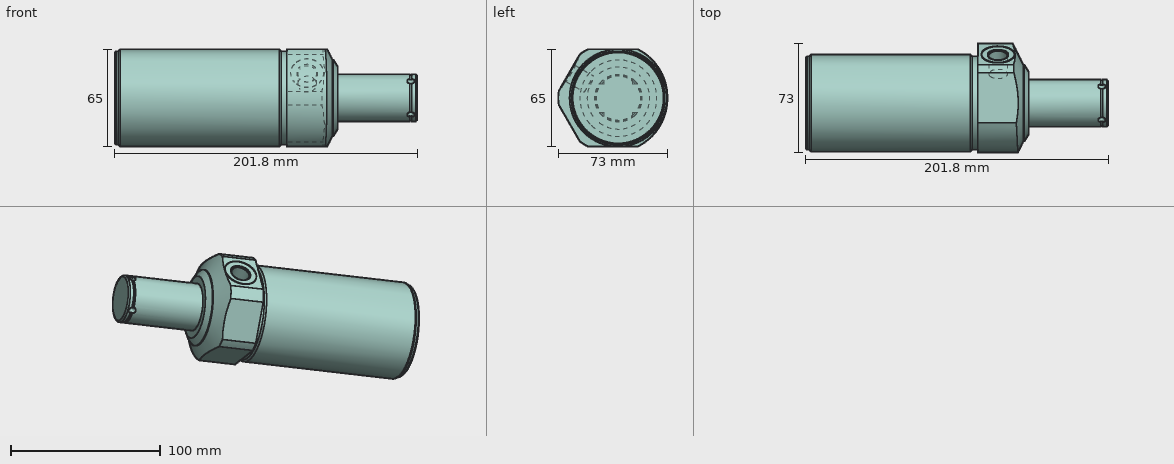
import cadquery as cq
import math


barrel_radius = 32.5
base_chamfer = 1.0
base_radius = 31.3
base_shoulder_start = 2.5
base_shoulder_end = base_shoulder_start + barrel_radius - base_radius
neck_radius = 31.3
neck_end = 115.0
neck_start = 111.0
barrel_end = neck_start - (barrel_radius - neck_radius)

head_radius = 36.515
head_offset = 3.5
side_flat_distance = barrel_radius
port_flat_distance = 33.65
port_flat_angle = 30.0
cone_end = 145.3
cone_small_radius = 25.6
cone_length_per_radius = 0.5

collar_radius = cone_small_radius
band_end = 145.9
collar_end = 149.0
collar_end_radius = 20.8

rod_radius = 15.875
rod_end = 201.85
rod_chamfer = 1.1
rod_groove_center = 197.65
rod_groove_width = 1.2
rod_groove_depth = 0.5
wrench_hole_diameter = 5.0
wrench_hole_count = 4

port_x = 128.3
port_seat_diameter = 22.0
port_seat_depth = 0.4
port_hole_diameter = 12.4
port_mouth_diameter = 13.9
port_hole_depth = 15.0


def revolve_about_x(points):
    """Turn a closed (x, radius) outline about the X axis."""
    return cq.Workplane("XY").polyline(points).close().revolve(360, (0, 0, 0), (1, 0, 0))


def make_barrel():
    return revolve_about_x([
        (0, 0),
        (0, base_radius - base_chamfer),
        (base_chamfer, base_radius),
        (base_shoulder_start, base_radius),
        (base_shoulder_end, barrel_radius),
        (barrel_end, barrel_radius),
        (neck_start, neck_radius),
        (neck_end, neck_radius),
        (neck_end, 0),
    ])


def make_head():
    length = cone_end - neck_end
    disc = cq.Workplane("YZ", origin=(neck_end, head_offset, 0)).circle(head_radius).extrude(length)

    tilt = math.radians(port_flat_angle)
    tip_y = port_flat_distance / math.cos(tilt)
    corner_y = (port_flat_distance - side_flat_distance * math.sin(tilt)) / math.cos(tilt)
    back_y = -2 * head_radius
    flats = (
        cq.Workplane("YZ", origin=(neck_end, head_offset, 0))
        .polyline([
            (back_y, -side_flat_distance),
            (corner_y, -side_flat_distance),
            (tip_y, 0),
            (corner_y, side_flat_distance),
            (back_y, side_flat_distance),
        ])
        .close()
        .extrude(length)
    )

    cone_length = cone_length_per_radius * (2 * head_radius - cone_small_radius)
    cone = revolve_about_x([
        (neck_end, 0),
        (neck_end, 2 * head_radius),
        (cone_end - cone_length, 2 * head_radius),
        (cone_end, cone_small_radius),
        (cone_end, 0),
    ])
    return disc.intersect(flats).intersect(cone)


def make_collar_and_rod():
    groove_start = rod_groove_center - rod_groove_width / 2
    groove_end = rod_groove_center + rod_groove_width / 2
    return revolve_about_x([
        (cone_end, 0),
        (cone_end, collar_radius),
        (band_end, collar_radius),
        (collar_end, collar_end_radius),
        (collar_end, rod_radius),
        (groove_start, rod_radius),
        (groove_start, rod_radius - rod_groove_depth),
        (groove_end, rod_radius - rod_groove_depth),
        (groove_end, rod_radius),
        (rod_end - rod_chamfer, rod_radius),
        (rod_end, rod_radius - rod_chamfer),
        (rod_end, 0),
    ])


def make_wrench_holes():
    """Conical holes spread evenly round the rod, in line with its groove."""
    mouth = wrench_hole_diameter / 2
    hole = cq.Solid.makeCone(
        0, mouth, mouth,
        pnt=cq.Vector(rod_groove_center, 0, rod_radius - mouth),
        dir=cq.Vector(0, 0, 1),
    )
    step = 360 / wrench_hole_count
    holes = cq.Workplane("XY")
    for index in range(wrench_hole_count):
        holes = holes.add(hole.rotate(cq.Vector(0, 0, 0), cq.Vector(1, 0, 0), (index + 0.5) * step))
    return holes.combine()


def make_port():
    """Shallow round seat and chamfered hole, square to the upper port flat."""
    tilt = math.radians(port_flat_angle)
    outward = cq.Vector(0, math.cos(tilt), math.sin(tilt))
    surface = cq.Vector(port_x, head_offset, 0) + outward * port_flat_distance
    face = cq.Workplane(cq.Plane(origin=surface, xDir=(1, 0, 0), normal=outward))
    mouth_depth = (port_mouth_diameter - port_hole_diameter) / 2
    seat = face.circle(port_seat_diameter / 2).extrude(-port_seat_depth)
    hole = face.circle(port_hole_diameter / 2).extrude(-port_hole_depth)
    mouth = (
        face.workplane(offset=-port_seat_depth)
        .circle(port_mouth_diameter / 2)
        .workplane(offset=-mouth_depth)
        .circle(port_hole_diameter / 2)
        .loft()
    )
    return seat.union(hole).union(mouth)


result = (
    make_barrel()
    .union(make_head())
    .union(make_collar_and_rod())
    .cut(make_wrench_holes())
    .cut(make_port())
)